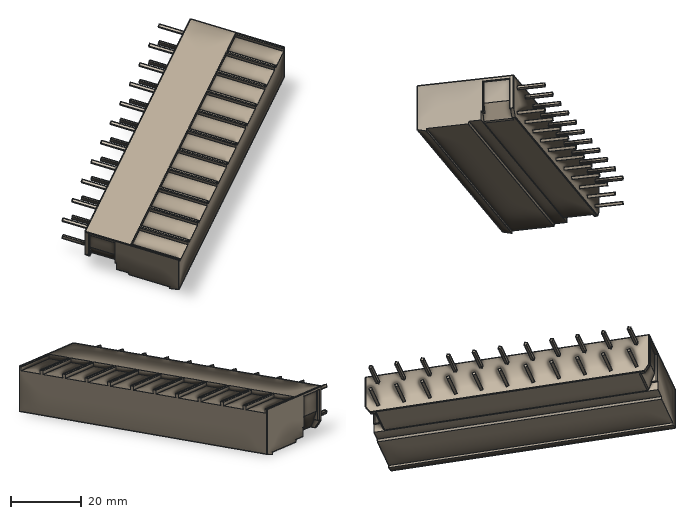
import cadquery as cq

POLES = 11
LENGTH = 83.8
PITCH = LENGTH / POLES
DEPTH = 28.8
HEIGHT = 14.25
END_Y = LENGTH / 2
EDGE_CHAMFER = 0.21

PIN_SIDE_BOTTOM = 12.5
MIDDLE_BOTTOM = 12.7
MAIN_BOTTOM = 13.5
MIDDLE_START_X = 9.7
STEP_START_X = 13.3
MAIN_START_X = 13.6
LIP_X = 26.0

CHANNEL_START_X = 14.0
CHANNEL_DEPTH = 1.3
RIB_WIDTH = 1.0
END_RIB_WIDTH = 0.75
RIB_CHAMFER = 0.25

RECESS_START_X = 1.3
RECESS_END_X = 9.1
RECESS_TOP = 0.9
RECESS_DEPTH = 0.8
RECESS_SLOPE_START = 7.4
RECESS_SLOPE_END = 12.15
RECESS_SLOPE_DEPTH = 2.8
RECESS_BOTTOM_DEPTH = 3.2
MOUTH_FLARE_WIDTH = 0.2
MOUTH_FLARE_DEPTH = 0.4
MOUTH_START_X = 1.0
MOUTH_TOP = 10.1
CORNER_CHAMFER_WIDTH = 1.6

PIN_LENGTH = 8.1
PIN_SIZE = 0.8
PIN_EMBED = 0.8
PIN_TURN = 20.0
PIN_ROW_TOP = 2.6


def make_housing():
    """Stepped side profile over the full length, with its top and end edges lightly chamfered."""
    profile = [
        (0, 0),
        (DEPTH, 0),
        (DEPTH, -MAIN_BOTTOM),
        (LIP_X, -HEIGHT),
        (LIP_X, -MAIN_BOTTOM),
        (MAIN_START_X, -MAIN_BOTTOM),
        (STEP_START_X, -MIDDLE_BOTTOM),
        (MIDDLE_START_X, -MIDDLE_BOTTOM),
        (MIDDLE_START_X, -PIN_SIDE_BOTTOM),
        (0, -PIN_SIDE_BOTTOM),
    ]
    housing = cq.Workplane("XZ").polyline(profile).close().extrude(END_Y, both=True)
    return housing.edges("(|Z and >X) or <X or >Z").chamfer(EDGE_CHAMFER)


def prism_along_x(points, start_x, end_x):
    """Extrude a closed YZ outline between two X positions."""
    outline = cq.Workplane("YZ", origin=(start_x, 0, 0)).polyline(points).close()
    return outline.extrude(end_x - start_x)


def make_channel(index):
    """Cutter for one channel, flared at the top to chamfer the ribs on both sides."""
    low_rib = RIB_WIDTH / 2 if index > 0 else END_RIB_WIDTH
    high_rib = RIB_WIDTH / 2 if index < POLES - 1 else END_RIB_WIDTH
    low = -END_Y + index * PITCH + low_rib
    high = -END_Y + (index + 1) * PITCH - high_rib
    points = [
        (low - RIB_CHAMFER, 0),
        (high + RIB_CHAMFER, 0),
        (high, -RIB_CHAMFER),
        (high, -CHANNEL_DEPTH),
        (low, -CHANNEL_DEPTH),
        (low, -RIB_CHAMFER),
    ]
    return prism_along_x(points, CHANNEL_START_X, DEPTH)


def make_end_recess():
    """Cutter for the recess in the -Y end wall, deepening toward the underside."""
    slope_rate = (RECESS_SLOPE_DEPTH - RECESS_DEPTH) / (RECESS_SLOPE_END - RECESS_SLOPE_START)
    mouth_depth = RECESS_DEPTH + slope_rate * (MOUTH_TOP - RECESS_SLOPE_START)
    upper = [
        (-END_Y, -RECESS_TOP),
        (-END_Y + RECESS_DEPTH, -RECESS_TOP),
        (-END_Y + RECESS_DEPTH, -RECESS_SLOPE_START),
        (-END_Y + RECESS_SLOPE_DEPTH, -RECESS_SLOPE_END),
        (-END_Y + RECESS_BOTTOM_DEPTH, -PIN_SIDE_BOTTOM),
        (-END_Y, -PIN_SIDE_BOTTOM),
    ]
    lower = [
        (-END_Y, -MOUTH_TOP),
        (-END_Y + mouth_depth, -MOUTH_TOP),
        (-END_Y + RECESS_SLOPE_DEPTH, -RECESS_SLOPE_END),
        (-END_Y + RECESS_BOTTOM_DEPTH, -PIN_SIDE_BOTTOM),
        (-END_Y, -PIN_SIDE_BOTTOM),
    ]
    corner = [
        (-END_Y, -MOUTH_TOP),
        (-END_Y + CORNER_CHAMFER_WIDTH, -PIN_SIDE_BOTTOM),
        (-END_Y, -PIN_SIDE_BOTTOM),
    ]
    recess = prism_along_x(upper, RECESS_START_X, RECESS_END_X)
    flare_corners = [
        (RECESS_START_X - MOUTH_FLARE_WIDTH, -END_Y),
        (RECESS_END_X + MOUTH_FLARE_WIDTH, -END_Y),
        (RECESS_END_X, -END_Y + MOUTH_FLARE_DEPTH),
        (RECESS_START_X, -END_Y + MOUTH_FLARE_DEPTH),
    ]
    flare = cq.Workplane("XY", origin=(0, 0, -MOUTH_TOP)).polyline(flare_corners).close()
    recess = recess.union(flare.extrude(MOUTH_TOP - RECESS_TOP))
    recess = recess.union(prism_along_x(lower, MOUTH_START_X, MIDDLE_START_X))
    return recess.union(prism_along_x(corner, 0, MOUTH_START_X))


def make_pin(y, z, turn):
    """Square pin along X, standing out of the pin face and rooted in the housing."""
    return (
        cq.Workplane("YZ", origin=(-PIN_LENGTH, y, z))
        .transformed(rotate=(0, 0, turn))
        .rect(PIN_SIZE, PIN_SIZE)
        .extrude(PIN_LENGTH + PIN_EMBED)
    )


result = make_housing()

for pole in range(POLES):
    result = result.cut(make_channel(pole))

end_recess = make_end_recess()
result = result.cut(end_recess).cut(end_recess.mirror("XZ"))

for pole in range(POLES):
    pin_y = -END_Y + (pole + 0.5) * PITCH
    result = result.union(make_pin(pin_y, -PIN_ROW_TOP, PIN_TURN))
    result = result.union(make_pin(pin_y, -PIN_ROW_TOP - PITCH, -PIN_TURN))